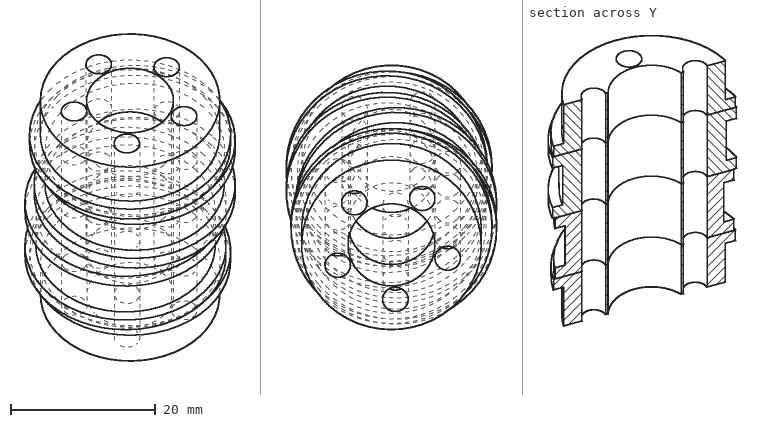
import cadquery as cq

SLEEVE_DIAMETER = 24.8
FLANGE_DIAMETER = 27.8
SLEEVE_LENGTH = 7.0
FLANGE_THICKNESS = 2.0

ECCENTRICITY = 1.0

BORE_DIAMETER = 12.0
PIN_HOLE_DIAMETER = 3.5
PIN_HOLE_COUNT = 5
PIN_CIRCLE_RADIUS = 8.0
FIRST_PIN_ANGLE = 90.0

END_LENGTH = SLEEVE_LENGTH + FLANGE_THICKNESS
ECCENTRIC_LENGTH = SLEEVE_LENGTH + 2 * FLANGE_THICKNESS
LOWER_ECCENTRIC_Z = END_LENGTH
UPPER_ECCENTRIC_Z = LOWER_ECCENTRIC_Z + ECCENTRIC_LENGTH
TOP_END_Z = UPPER_ECCENTRIC_Z + ECCENTRIC_LENGTH


def disc(diameter, bottom_z, thickness, center_y=0.0):
    """Solid cylinder along Z, offset from the main axis in Y."""
    return cq.Workplane("XY", origin=(0, center_y, bottom_z)).circle(diameter / 2).extrude(thickness)


def cut_passages(body, bottom_z, length):
    """Cut the central bore and the ring of pin holes, all centred on the main axis."""
    bore = disc(BORE_DIAMETER, bottom_z, length)
    pin_holes = (
        cq.Workplane("XY", origin=(0, 0, bottom_z))
        .polarArray(PIN_CIRCLE_RADIUS, FIRST_PIN_ANGLE, 360, PIN_HOLE_COUNT)
        .circle(PIN_HOLE_DIAMETER / 2)
        .extrude(length)
    )
    return body.cut(bore).cut(pin_holes)


def make_end_sleeve(bottom_z, flange_z):
    """Concentric end sleeve with one flange on its inner end."""
    sleeve = disc(SLEEVE_DIAMETER, bottom_z, END_LENGTH)
    flange = disc(FLANGE_DIAMETER, flange_z, FLANGE_THICKNESS)
    return cut_passages(sleeve.union(flange), bottom_z, END_LENGTH)


def make_eccentric_sleeve(bottom_z, offset_y):
    """Offset sleeve with a flange on both ends and passages left on the main axis."""
    body = disc(SLEEVE_DIAMETER, bottom_z, ECCENTRIC_LENGTH, offset_y)
    for flange_z in (bottom_z, bottom_z + ECCENTRIC_LENGTH - FLANGE_THICKNESS):
        body = body.union(disc(FLANGE_DIAMETER, flange_z, FLANGE_THICKNESS, offset_y))
    return cut_passages(body, bottom_z, ECCENTRIC_LENGTH)


end_sleeves = [
    make_end_sleeve(bottom_z, flange_z)
    for bottom_z, flange_z in ((0.0, SLEEVE_LENGTH), (TOP_END_Z, TOP_END_Z))
]
eccentric_sleeves = [
    make_eccentric_sleeve(bottom_z, offset_y)
    for bottom_z, offset_y in ((LOWER_ECCENTRIC_Z, -ECCENTRICITY), (UPPER_ECCENTRIC_Z, ECCENTRICITY))
]

result = cq.Compound.makeCompound([body.val() for body in end_sleeves + eccentric_sleeves])